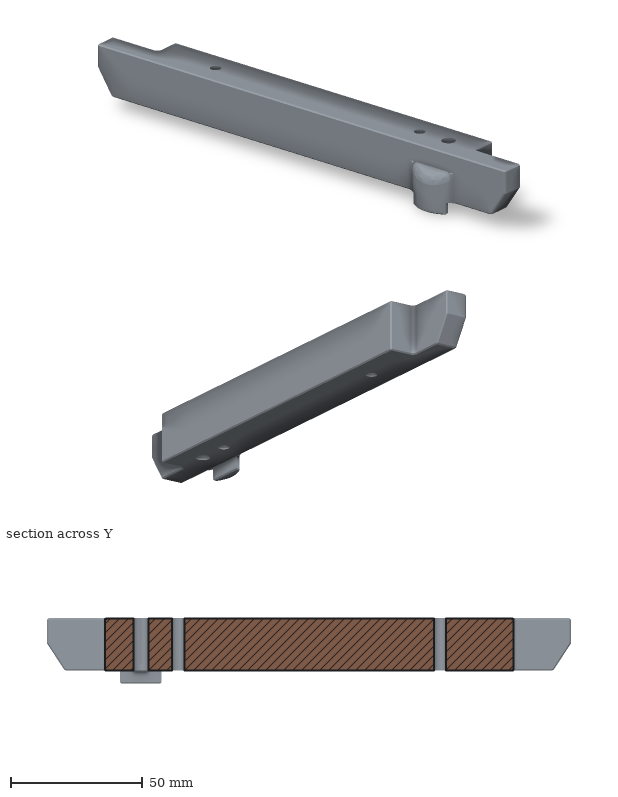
import cadquery as cq
import math

length = 199.6
height = 20.0
depth = 20.0
strip_depth = 9.4
shoulder_length = 22.2
corner_radius = 1.5
edge_break = 0.5
end_radius = 1.0

slope_run = 6.8
slope_rise = 10.4

hole_y = depth / 2
screw_hole_diameter = 4.4
screw_hole_places = (length / 4, length * 3 / 4)
pin_hole_diameter = 5.5
pin_hole_x = 163.9

grip_x = pin_hole_x
grip_reach = 4.0
grip_half_chord = 9.8
grip_top = 12.4
grip_crown_radius = 4.4
grip_root_radius = 3.0

lip_width = 15.8
lip_drop = 5.0

grip_radius = (grip_half_chord**2 + grip_reach**2) / (2 * grip_reach)
grip_axis_y = grip_radius - grip_reach


def make_bar():
    """Bar with stepped rear, sloped lower corners, rounded front ends and small edge breaks."""
    inner_x = length - shoulder_length
    footprint = (
        cq.Workplane("XY")
        .polyline(
            [
                (0, 0),
                (length, 0),
                (length, strip_depth),
                (inner_x, strip_depth),
                (inner_x, depth),
                (shoulder_length, depth),
                (shoulder_length, strip_depth),
                (0, strip_depth),
            ]
        )
        .close()
        .extrude(height)
    )
    side_profile = (
        cq.Workplane("XZ")
        .polyline(
            [
                (slope_run, 0),
                (length - slope_run, 0),
                (length, slope_rise),
                (length, height),
                (0, height),
                (0, slope_rise),
            ]
        )
        .close()
        .extrude(-depth)
    )
    bar = footprint.intersect(side_profile)

    inner_corners = cq.selectors.BoxSelector(
        (shoulder_length / 2, strip_depth / 2, height / 4),
        (length - shoulder_length / 2, strip_depth + 2 * corner_radius, height * 3 / 4),
    )
    bar = bar.edges(inner_corners).fillet(corner_radius)

    bar = bar.faces("<Y").edges("not |X").fillet(end_radius)
    return bar.faces("+Y or +Z or -Z").edges(-inner_corners).chamfer(edge_break)


def grip_segment(bottom, top):
    """Upright cylinder segment in front of the bar's front face."""
    return (
        cq.Workplane("XY", origin=(grip_x, 0, bottom))
        .moveTo(-grip_half_chord, 0)
        .threePointArc((0, -grip_reach), (grip_half_chord, 0))
        .close()
        .extrude(top - bottom)
    )


def slope_grip_top(body):
    """Cut a body off along the 45 degree plane that falls away from the front face."""
    waste = (
        cq.Workplane("YZ")
        .moveTo(0, grip_top)
        .lineTo(-height, grip_top - height)
        .lineTo(-height, height)
        .lineTo(0, height)
        .close()
        .extrude(length)
    )
    return body.cut(waste)


def make_root_flares():
    """Concave fillets that blend both sides of the grip into the front face."""
    reach = grip_radius + grip_root_radius
    rise = grip_axis_y + grip_root_radius
    centre_x = math.sqrt(reach**2 - rise**2)
    touch_x = centre_x * grip_radius / reach
    touch_y = grip_axis_y - rise * grip_radius / reach
    middle_angle = (math.atan2(rise, -centre_x) + math.pi / 2) / 2
    middle_x = centre_x + grip_root_radius * math.cos(middle_angle)
    middle_y = grip_root_radius * (math.sin(middle_angle) - 1)

    flare = (
        cq.Workplane("XY", origin=(grip_x, 0, 0))
        .moveTo(centre_x, 0)
        .threePointArc((middle_x, middle_y), (touch_x, touch_y))
        .lineTo(touch_x, 0)
        .close()
        .extrude(height)
    )
    flare = slope_grip_top(flare)
    return flare.union(flare.mirror("YZ", (grip_x, 0, 0)))


def make_grip():
    """Grip with a sloped, rounded crown, flared roots and a lip below the bar."""
    grip = slope_grip_top(grip_segment(0, height))
    crown = cq.selectors.BoxSelector(
        (grip_x - grip_half_chord, -2 * grip_reach, grip_top / 2),
        (grip_x + grip_half_chord, -grip_reach / 4, grip_top - grip_reach / 4),
    )
    grip = grip.edges(crown).fillet(grip_crown_radius)

    lip_limits = cq.Workplane("XY").box(lip_width, depth, height).translate((grip_x, 0, 0))
    lip = grip_segment(-lip_drop, grip_top / 2).intersect(lip_limits)
    lip = lip.faces("<Z").edges().chamfer(edge_break)
    return grip.union(make_root_flares()).union(lip)


def drill(body, x, diameter):
    """Drill one vertical through hole."""
    drill_bit = cq.Workplane("XY", origin=(x, hole_y, 0)).circle(diameter / 2).extrude(height)
    return body.cut(drill_bit)


result = make_bar().union(make_grip())
for screw_x in screw_hole_places:
    result = drill(result, screw_x, screw_hole_diameter)
result = drill(result, pin_hole_x, pin_hole_diameter)